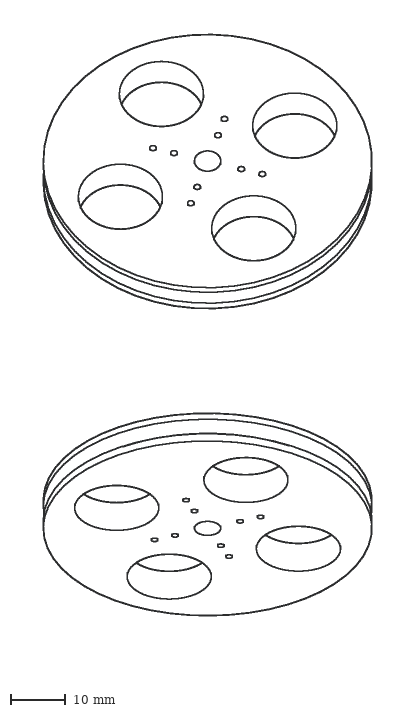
import cadquery as cq

disc_diameter = 60.0
disc_thickness = 6.0

lower_rim_height = 1.55
upper_rim_height = 1.3
groove_depth = 2.5
groove_bottom_z = 3.25

bore_diameter = 4.8
window_diameter = 15.35
window_circle_radius = 18.0
screw_hole_diameter = 1.2
screw_circle_radii = (6.4, 10.45)
holes_per_circle = 4
window_start_angle = 45


def grooved_disc():
    """Revolve the half section of the pulley about the Z axis."""
    radius = disc_diameter / 2
    return (
        cq.Workplane("XZ")
        .lineTo(radius, 0)
        .lineTo(radius, lower_rim_height)
        .lineTo(radius - groove_depth, groove_bottom_z)
        .lineTo(radius, disc_thickness - upper_rim_height)
        .lineTo(radius, disc_thickness)
        .lineTo(0, disc_thickness)
        .close()
        .revolve(360, (0, 0), (0, 1))
    )


def hole_ring(circle_radius, hole_diameter, start_angle=0):
    """Cylinders evenly spaced on a circle, used to cut through holes."""
    return (
        cq.Workplane("XY")
        .polarArray(circle_radius, start_angle, 360, holes_per_circle)
        .circle(hole_diameter / 2)
        .extrude(disc_thickness)
    )


result = grooved_disc()
result = result.cut(cq.Workplane("XY").circle(bore_diameter / 2).extrude(disc_thickness))
result = result.cut(hole_ring(window_circle_radius, window_diameter, window_start_angle))
for screw_circle_radius in screw_circle_radii:
    result = result.cut(hole_ring(screw_circle_radius, screw_hole_diameter))